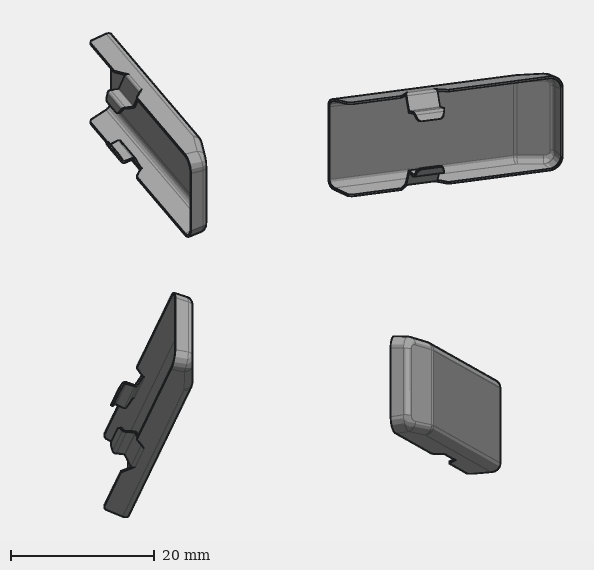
import cadquery as cq
import math

length = 33.64
width = 13.75
depth = 4.28
sheet = 0.3
side_draft = 5.0
end_draft = 3.0
corner_radius = 2.0
side_edge_radius = 1.3
end_edge_radius = 1.0

slope_start = 28.16
slope_angle = 18.0
slope_bend_radius = 2.0

open_end_angle = 18.0
open_end_corner_radius = 0.8
overrun = 5.0

tab_center = 12.8
tab_width = 4.68
notch_depth = 1.53
notch_top_width = 4.05
root_overlap = 0.3
lead_angle = 65.0
lead_bend_radius = 0.35
lead_length = 2.13
grip_angle = -10.0
grip_bend_radius = 0.2
grip_length = 1.26
tip_angle = 65.0
tip_bend_radius = 0.35
tip_length = 1.0
tip_taper_length = 1.45
tip_taper_inset = 0.5
tip_corner_radius = 0.7


def tangent(angle):
    return math.tan(math.radians(angle))


def secant(angle):
    return 1 / math.cos(math.radians(angle))


def fillet_together(body, groups):
    """Round several edge groups, each with its own radius, in one blend."""
    blend = cq.occ_impl.shapes.BRepFilletAPI_MakeFillet(body.val().wrapped)
    for edges, radius in groups:
        for edge in edges:
            blend.Add(radius, edge.wrapped)
    return cq.Workplane(cq.Shape.cast(blend.Shape()))


def sharp_block(inset):
    """Block inside the cover's outer skin moved inward by `inset`, only the plate bend rounded."""
    height = depth - inset
    rim_half = width / 2 - inset * secant(side_draft)
    back_half = rim_half - height * tangent(side_draft)
    trough = (
        cq.Workplane("YZ", origin=(-overrun, 0, 0))
        .polyline([(0, -rim_half), (height, -back_half), (height, back_half), (0, rim_half)])
        .close()
        .extrude(length + overrun)
    )

    rim_end = length - inset * secant(end_draft)
    bend_x = slope_start - inset * tangent(slope_angle / 2)
    slope = tangent(slope_angle)
    lean = tangent(end_draft)
    slope_end_y = (height - (rim_end - bend_x) * slope) / (1 - lean * slope)
    slope_end_x = rim_end - slope_end_y * lean
    side_profile = (
        cq.Workplane("XY")
        .polyline([
            (-overrun, 0),
            (rim_end, 0),
            (slope_end_x, slope_end_y),
            (bend_x, height),
            (-overrun, height),
        ])
        .close()
        .extrude(width, both=True)
        .edges(cq.selectors.NearestToPointSelector((bend_x, height, 0)))
        .fillet(slope_bend_radius - inset)
    )
    return trough.intersect(side_profile)


def rounded_block(inset):
    """The sharp block with its back edges and upright corners rounded."""
    block = sharp_block(inset)
    end_zone_x = (slope_start + length) / 2
    side_edges = []
    end_edges = []
    corners = []
    for edge in block.edges().vals():
        middle = edge.Center()
        bounds = edge.BoundingBox()
        on_rim = bounds.ymax < sheet
        on_open_end = bounds.xmax < 0
        across = bounds.zlen > width / 2
        if on_rim or on_open_end:
            continue
        if across:
            if middle.x > end_zone_x:
                end_edges.append(edge)
        elif bounds.ymin < sheet:
            corners.append(edge)
        else:
            side_edges.append(edge)
    return fillet_together(block, [
        (side_edges, side_edge_radius - inset),
        (end_edges, end_edge_radius - inset),
        (corners, corner_radius - inset),
    ])


def shell():
    return rounded_block(0).cut(rounded_block(sheet))


def open_end_envelope():
    """Space kept by the slanted -X end, with the rim corner rounded."""
    rim_x = depth * tangent(open_end_angle)
    return (
        cq.Workplane("XY")
        .polyline([(0, depth), (rim_x, 0), (length, 0), (length, depth)])
        .close()
        .extrude(width, both=True)
        .edges(cq.selectors.NearestToPointSelector((rim_x, 0, 0)))
        .fillet(open_end_corner_radius)
    )


def notches():
    """Notch with 45 degree flanks, cut through both long walls."""
    half_top = notch_top_width / 2
    half_rim = half_top + notch_depth
    return (
        cq.Workplane("XY")
        .polyline([
            (tab_center - half_rim, 0),
            (tab_center - half_top, notch_depth),
            (tab_center + half_top, notch_depth),
            (tab_center + half_rim, 0),
        ])
        .close()
        .extrude(width, both=True)
    )


def heading(angle):
    """Unit (Y, Z) direction, `angle` degrees inward from -Y on the +Z wall."""
    turn = math.radians(angle)
    return -math.cos(turn), -math.sin(turn)


def tip_envelope(tip_y, tip_z):
    """Tab outline, square to the last leg: tapered toward the tip, with rounded corners."""
    dy, dz = heading(tip_angle)
    half_width = tab_width / 2
    half_tip = half_width - tip_taper_inset
    outline = (
        cq.Sketch()
        .polygon([
            (-half_width, -width),
            (half_width, -width),
            (half_width, -tip_taper_length),
            (half_tip, 0),
            (-half_tip, 0),
            (-half_width, -tip_taper_length),
            (-half_width, -width),
        ])
        .vertices(">Y")
        .fillet(tip_corner_radius)
    )
    leg_plane = cq.Plane(origin=(tab_center, tip_y, tip_z), xDir=(1, 0, 0), normal=(0, -dz, dy))
    return cq.Workplane(leg_plane).placeSketch(outline).extrude(width, both=True)


def tab():
    """Bent strip on the +Z wall, swept along its centre line."""
    angle = -side_draft
    dy, dz = heading(angle)
    bend_y = notch_depth - dz * sheet / 2
    bend_z = width / 2 - notch_depth * tangent(side_draft) + dy * sheet / 2
    root = (tab_center, bend_y - dy * root_overlap, bend_z - dz * root_overlap)
    section = cq.Plane(origin=root, xDir=(1, 0, 0), normal=(0, dy, dz))

    y, z = bend_y, bend_z
    path = cq.Workplane("YZ", origin=(tab_center, 0, 0)).moveTo(root[1], root[2]).lineTo(y, z)
    legs = [
        (lead_angle, lead_bend_radius, lead_length),
        (grip_angle, grip_bend_radius, grip_length),
        (tip_angle, tip_bend_radius, tip_length),
    ]
    for next_angle, radius, leg_length in legs:
        half_turn = math.radians(abs(next_angle - angle)) / 2
        chord = 2 * radius * math.sin(half_turn)
        dy, dz = heading((angle + next_angle) / 2)
        y += dy * chord
        z += dz * chord
        path = path.tangentArcPoint((y, z), relative=False)
        dy, dz = heading(next_angle)
        y += dy * leg_length
        z += dz * leg_length
        path = path.lineTo(y, z)
        angle = next_angle

    strip = cq.Workplane(section).rect(tab_width, sheet).sweep(path)
    return strip.intersect(tip_envelope(y, z))


upper_tab = tab()
result = (
    shell()
    .intersect(open_end_envelope())
    .cut(notches())
    .union(upper_tab)
    .union(upper_tab.mirror("XY"))
)